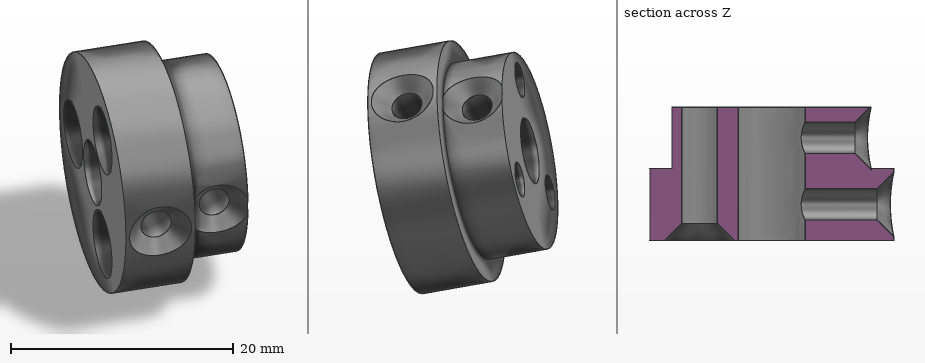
import cadquery as cq
import math

FLANGE_DIAMETER = 22.0
FLANGE_LENGTH = 6.5
BOSS_DIAMETER = 18.0
BOSS_LENGTH = 5.5
BORE_DIAMETER = 6.0

SCREW_DIAMETER = 3.2
SINK_DIAMETER = 6.3
SINK_ANGLE = 90.0
SCREW_CIRCLE_RADIUS = 6.5
SCREW_COUNT = 3
FIRST_SCREW_ANGLE = 60.0

RADIAL_DIAMETER = 2.8
RADIAL_SINK_DIAMETER = 5.8

TOTAL_LENGTH = FLANGE_LENGTH + BOSS_LENGTH


def cylinder_along_y(diameter, length):
    """Cylinder on the part axis, running from Y = 0 toward +Y."""
    return cq.Workplane("XZ").circle(diameter / 2).extrude(-length)


def countersunk_hole(mouth, direction, length, diameter, sink_diameter):
    """Cutter for a countersunk hole entering at the mouth point along the direction."""
    sink_depth = (sink_diameter - diameter) / 2 / math.tan(math.radians(SINK_ANGLE / 2))
    shank = cq.Solid.makeCylinder(diameter / 2, length, mouth, direction)
    sink = cq.Solid.makeCone(sink_diameter / 2, diameter / 2, sink_depth, mouth, direction)
    return cq.Workplane(shank.fuse(sink))


body = cylinder_along_y(FLANGE_DIAMETER, FLANGE_LENGTH)
body = body.union(cylinder_along_y(BOSS_DIAMETER, TOTAL_LENGTH))
body = body.cut(cylinder_along_y(BORE_DIAMETER, TOTAL_LENGTH))

for i in range(SCREW_COUNT):
    angle = math.radians(FIRST_SCREW_ANGLE + i * 360 / SCREW_COUNT)
    screw_x = SCREW_CIRCLE_RADIUS * math.cos(angle)
    screw_z = SCREW_CIRCLE_RADIUS * math.sin(angle)
    mouth = cq.Vector(screw_x, 0, screw_z)
    inward = cq.Vector(0, 1, 0)
    body = body.cut(countersunk_hole(mouth, inward, TOTAL_LENGTH, SCREW_DIAMETER, SINK_DIAMETER))

flange_middle = FLANGE_LENGTH / 2
boss_middle = FLANGE_LENGTH + BOSS_LENGTH / 2
for diameter, middle in ((FLANGE_DIAMETER, flange_middle), (BOSS_DIAMETER, boss_middle)):
    radius = diameter / 2
    mouth = cq.Vector(radius, middle, 0)
    inward = cq.Vector(-1, 0, 0)
    body = body.cut(countersunk_hole(mouth, inward, radius, RADIAL_DIAMETER, RADIAL_SINK_DIAMETER))

result = body